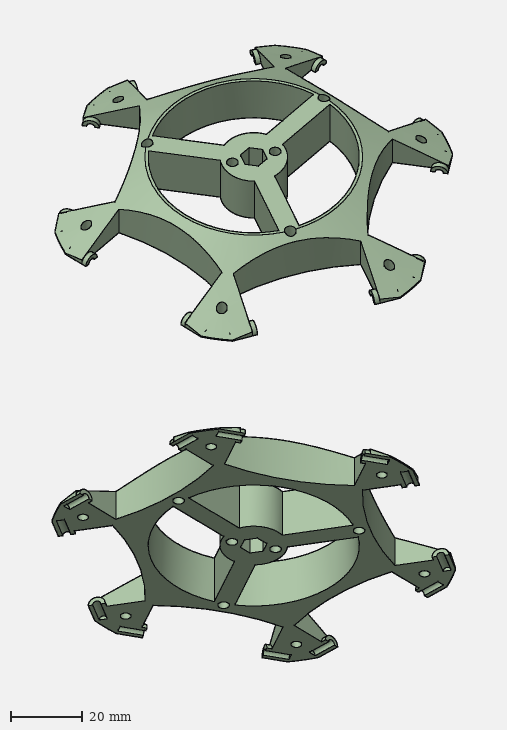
import cadquery as cq
import math

height = 15.0
rim_radius = 58.0
rim_height = 0.5
top_radius = 30.6

foot_count = 6
foot_step = 360 / foot_count
flat_distance = 52.3
notch_half_width = 19.0
notch_middle = 33.6
notch_corner = 36.2
foot_hole_diameter = 3.0
foot_hole_radius = 50.0

lug_radius = 2.49
lug_length = 1.5
lug_distance = flat_distance - lug_radius
pivot_radius = 1.2
pivot_end = 25.0

opening_radius = 29.7
hub_radius = 9.5
spoke_count = 3
spoke_width = 6.0
spoke_hole_radius = 30.5
first_spoke_angle = 90
screw_diameter = 3.2
hub_hole_radius = 6.4
hub_hole_angle = 60
hex_across_flats = 6.6
hex_turn = 30


def turned(shape, angle):
    """Turn a shape about the part's vertical axis."""
    return shape.rotate((0, 0, 0), (0, 0, 1), angle)


def around_axis(shape, count):
    """Fuse equally spaced copies of a shape about the vertical axis."""
    copies = shape
    for i in range(1, count):
        copies = copies.union(turned(shape, i * 360 / count))
    return copies


def half_rod(radius, start, end):
    """Half cylinder standing on Z = 0, parallel to X along the lug axis."""
    return (
        cq.Workplane("YZ", origin=(start, lug_distance, 0))
        .moveTo(-radius, 0)
        .threePointArc((0, radius), (radius, 0))
        .close()
        .extrude(end - start)
    )


def vertical_hole(diameter, radius, angle):
    """Through-hole cutter at a polar position."""
    a = math.radians(angle)
    return (
        cq.Workplane("XY")
        .center(radius * math.cos(a), radius * math.sin(a))
        .circle(diameter / 2)
        .extrude(height)
    )


def cone_body():
    """Cone with its rim trimmed to a hexagon whose corners point along the feet."""
    cone = (
        cq.Workplane("XZ")
        .polyline([(0, 0), (rim_radius, 0), (rim_radius, rim_height), (top_radius, height), (0, height)])
        .close()
        .revolve(360, (0, 0, 0), (0, 1, 0))
    )
    corner_diameter = 2 * flat_distance / math.cos(math.pi / foot_count)
    hexagon = cq.Workplane("XY").polygon(foot_count, corner_diameter).extrude(height)
    return cone.intersect(hexagon)


def notch():
    """Cutter for the notch on +Y: straight sides and a floor bulging towards the axis."""
    return (
        cq.Workplane("XY")
        .moveTo(-notch_half_width, rim_radius)
        .lineTo(-notch_half_width, notch_corner)
        .threePointArc((0, notch_middle), (notch_half_width, notch_corner))
        .lineTo(notch_half_width, rim_radius)
        .close()
        .extrude(height)
    )


def both_sides(shape):
    """A shape together with its mirror image across the notch centre line."""
    return shape.union(shape.mirror("YZ"))


def hub_and_spokes():
    """Hub joined to the ring by spokes, the first one along +Y."""
    spoke = cq.Workplane("XY").rect(spoke_width, opening_radius, centered=(True, False)).extrude(height)
    hub = cq.Workplane("XY").circle(hub_radius).extrude(height)
    return hub.union(around_axis(spoke, spoke_count))


lug = half_rod(lug_radius, notch_half_width - lug_length, notch_half_width)
pivot_bore = half_rod(pivot_radius, notch_half_width - lug_length, pivot_end)

result = cone_body()
for i in range(foot_count):
    turn = i * foot_step
    result = result.cut(turned(notch(), turn))
    result = result.union(turned(both_sides(lug), turn))
    result = result.cut(turned(both_sides(pivot_bore), turn))
    result = result.cut(vertical_hole(foot_hole_diameter, foot_hole_radius, turn))

opening = cq.Workplane("XY").circle(opening_radius).extrude(height)
result = result.cut(opening.cut(hub_and_spokes()))

for i in range(spoke_count):
    angle = first_spoke_angle + i * 360 / spoke_count
    result = result.cut(vertical_hole(screw_diameter, spoke_hole_radius, angle))
for angle in (hub_hole_angle, hub_hole_angle + 180):
    result = result.cut(vertical_hole(screw_diameter, hub_hole_radius, angle))

hex_corner_diameter = hex_across_flats / math.cos(math.pi / 6)
hex_bore = cq.Workplane("XY").polygon(6, hex_corner_diameter).extrude(height)
result = result.cut(turned(hex_bore, hex_turn))